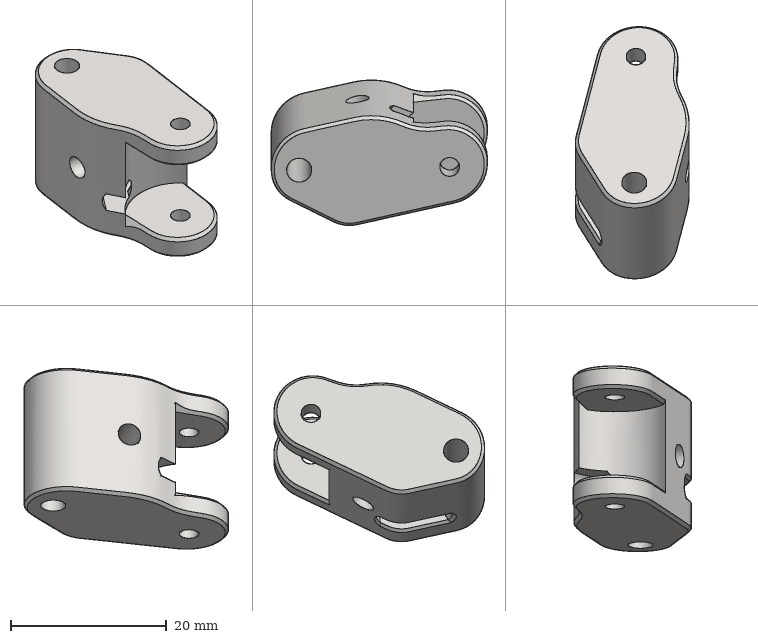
import cadquery as cq
import math

length = 27.47
width = 14.0
height = 17.5
edge_chamfer = 0.4

heel_radius = 5.5
shoulder_radius = 4.5
slant_angle = 40.0
shoulder_x = 9.23
nose_radius = 5.5
tip_radius = 5.0
tip_y = 8.65
neck_angle = 6.5
neck_concave_radius = 7.5
belly_radius = 10.0
belly_start_x = 12.0

flange_thickness = 3.0
pin_x, pin_y = 22.53, 9.07
pin_diameter = 2.5
gap_radius = 7.11
heel_hole_x, heel_hole_y = 3.63, 5.15
heel_hole_diameter = 3.2
cross_hole_x = 12.47
cross_hole_diameter = 3.0

passage_z = 5.3
passage_height = 2.6
passage_diameter = 4.2
passage_chamfer = 0.35
pivot_x, pivot_y = 14.17, 4.78
shallow_angle = 151.0
steep_angle = 124.0
passage_reach = 19.23


def polar(center, radius, angle):
    """Point at a distance and an angle in degrees from a centre."""
    turn = math.radians(angle)
    return (center[0] + radius * math.cos(turn), center[1] + radius * math.sin(turn))


def direction(start, end):
    """Angle in degrees of the line from start to end."""
    return math.degrees(math.atan2(end[1] - start[1], end[0] - start[0]))


tip = (length - tip_radius, tip_y)
nose_y = width - nose_radius
nose_x = tip[0] - math.sqrt((nose_radius - tip_radius) ** 2 - (tip_y - nose_y) ** 2)
nose = (nose_x, nose_y)
nose_end_angle = direction(nose, tip)
neck_normal = neck_angle - 90
nose_start = (nose_x, width)
nose_mid = polar(nose, nose_radius, (90 + nose_end_angle) / 2)
nose_end = polar(nose, nose_radius, nose_end_angle)
tip_mid = polar(tip, tip_radius, (nose_end_angle + neck_normal) / 2)
neck_end = polar(tip, tip_radius, neck_normal)


def make_outline():
    """Closed plan outline, running clockwise from the rear side."""
    belly = (belly_start_x, belly_radius)
    foot = polar(tip, tip_radius + neck_concave_radius, neck_normal)
    along = (math.cos(math.radians(neck_angle)), math.sin(math.radians(neck_angle)))
    offset = (foot[0] - belly[0], foot[1] - belly[1])
    projection = offset[0] * along[0] + offset[1] * along[1]
    center_gap = belly_radius + neck_concave_radius
    distance_squared = offset[0] ** 2 + offset[1] ** 2
    neck_length = projection - math.sqrt(projection**2 - distance_squared + center_gap**2)
    concave = (foot[0] - neck_length * along[0], foot[1] - neck_length * along[1])
    belly_end_angle = direction(belly, concave)
    neck_start = polar(concave, neck_concave_radius, neck_angle + 90)
    concave_mid = polar(concave, neck_concave_radius, (neck_angle + 90 + belly_end_angle + 180) / 2)
    belly_end = polar(belly, belly_radius, belly_end_angle)
    belly_mid = polar(belly, belly_radius, (belly_end_angle - 90) / 2)

    heel = (heel_radius, heel_radius)
    slant_normal = slant_angle + 90
    low_shoulder = (shoulder_radius, heel_radius)
    high_shoulder = (shoulder_x, width - shoulder_radius)
    return (
        cq.Workplane("XY")
        .moveTo(shoulder_x, width)
        .lineTo(*nose_start)
        .threePointArc(nose_mid, nose_end)
        .threePointArc(tip_mid, neck_end)
        .lineTo(*neck_start)
        .threePointArc(concave_mid, belly_end)
        .threePointArc(belly_mid, (belly_start_x, 0))
        .lineTo(heel_radius, 0)
        .threePointArc(polar(heel, heel_radius, 225), (0, heel_radius))
        .threePointArc(
            polar(low_shoulder, shoulder_radius, (180 + slant_normal) / 2),
            polar(low_shoulder, shoulder_radius, slant_normal),
        )
        .lineTo(*polar(high_shoulder, shoulder_radius, slant_normal))
        .threePointArc(polar(high_shoulder, shoulder_radius, (slant_normal + 90) / 2), (shoulder_x, width))
        .close()
    )


def make_body():
    return make_outline().extrude(height).faces("<Z or >Z").chamfer(edge_chamfer)


def make_gap():
    """Round clevis gap between the flanges, centred on the pin."""
    gap_height = height - 2 * flange_thickness
    return (
        cq.Workplane("XY", origin=(pin_x, pin_y, flange_thickness))
        .circle(gap_radius)
        .extrude(gap_height)
    )


def make_flange_bevel():
    """Cutter for the bevel along the inner edge of the lower flange."""
    bevel_reach = 3 * edge_chamfer
    bevel_growth = bevel_reach - edge_chamfer

    root_x = pin_x - 2 * gap_radius
    root_y = neck_end[1] - (neck_end[0] - root_x) * math.tan(math.radians(neck_angle))
    flange = (
        cq.Workplane("XY")
        .moveTo(root_x, width)
        .lineTo(*nose_start)
        .threePointArc(nose_mid, nose_end)
        .threePointArc(tip_mid, neck_end)
        .lineTo(root_x, root_y)
        .close()
        .offset2D(bevel_growth)
        .extrude(flange_thickness)
        .faces(">Z")
        .chamfer(bevel_reach)
    )
    return (
        cq.Workplane("XY", origin=(pin_x, pin_y, flange_thickness - bevel_reach))
        .circle(gap_radius)
        .extrude(bevel_reach)
        .cut(flange)
    )


def make_rod(angle, reach):
    """Round bar running from the passage pivot at an angle in plan."""
    turn = math.radians(angle)
    start = cq.Vector(pivot_x, pivot_y, passage_z)
    heading = cq.Vector(math.cos(turn), math.sin(turn), 0)
    return cq.Workplane(cq.Solid.makeCylinder(passage_diameter / 2, reach, start, heading))


def make_passage():
    """Flat fan with rounded side walls, narrowing to one bar that leaves through the gap."""
    pivot = (pivot_x, pivot_y)
    fan = (
        cq.Workplane("XY", origin=(0, 0, passage_z - passage_height / 2))
        .polyline([
            pivot,
            polar(pivot, passage_reach, shallow_angle),
            polar(pivot, passage_reach, steep_angle),
        ])
        .close()
        .extrude(passage_height)
    )
    slab = cq.Workplane("XY", origin=(length / 2, width / 2, passage_z)).box(
        2 * length, 4 * width, passage_height
    )
    left_wall = make_rod(shallow_angle, passage_reach)
    right_wall = make_rod(steep_angle, passage_reach)
    outlet = make_rod(shallow_angle + 180, passage_reach)
    knuckle = cq.Workplane("XY", origin=(pivot_x, pivot_y, passage_z)).sphere(passage_diameter / 2)
    rods = left_wall.union(right_wall).union(outlet).union(knuckle).intersect(slab)
    return fan.union(rods)


def make_holes():
    pin_hole = cq.Workplane("XY").center(pin_x, pin_y).circle(pin_diameter / 2).extrude(height)
    heel_hole = (
        cq.Workplane("XY").center(heel_hole_x, heel_hole_y).circle(heel_hole_diameter / 2).extrude(height)
    )
    cross_hole = (
        cq.Workplane("XZ").center(cross_hole_x, height / 2).circle(cross_hole_diameter / 2).extrude(-width)
    )
    return pin_hole.union(heel_hole).union(cross_hole)


def chamfer_passage_mouth(part):
    """Bevel the edges where the passage opens on the slanted and rear sides."""
    margin = 0.15
    low = passage_z - passage_height / 2 - margin
    high = passage_z + passage_height / 2 + margin
    slanted_side = cq.selectors.BoxSelector((-margin, heel_radius, low), (shoulder_x, width + margin, high))
    rear_side = cq.selectors.BoxSelector((shoulder_x, width - margin, low), (pivot_x, width + margin, high))
    return part.edges(slanted_side + rear_side).chamfer(passage_chamfer)


lower_bevel = make_flange_bevel()
upper_bevel = lower_bevel.mirror("XY", (0, 0, height / 2))
part = make_body().cut(make_gap()).cut(lower_bevel).cut(upper_bevel)
part = part.cut(make_passage()).cut(make_holes())
result = chamfer_passage_mouth(part)